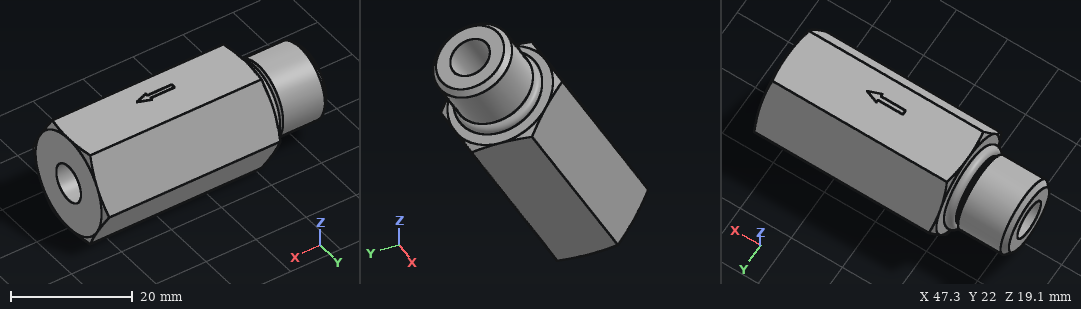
import cadquery as cq
import math

total_length = 47.3
bore_diameter = 7.15

stub_diameter = 14.3
stub_chamfer = 1.0
thread_end = 9.3
neck_diameter = 12.75
neck_start = 9.85

hex_start = 12.0
hex_across_flats = 19.05
hex_chamfer_length = 0.5

ring_outer_diameter = 15.9
ring_section_diameter = 2.0

arrow_tail = 25.4
arrow_neck = 30.25
arrow_tip = 32.7
arrow_center_y = -1.4
arrow_shaft_width = 0.85
arrow_head_width = 1.8
arrow_depth = 0.1

stub_radius = stub_diameter / 2
neck_radius = neck_diameter / 2
flat_radius = hex_across_flats / 2
corner_radius = flat_radius / math.cos(math.pi / 6)
ring_center_radius = (ring_outer_diameter - ring_section_diameter) / 2
ring_center_x = hex_start - ring_section_diameter / 2


def revolve_about_x(profile):
    """Turn a closed profile of (x, radius) points about the X axis."""
    return cq.Workplane("XY").polyline(profile).close().revolve(360, (0, 0, 0), (1, 0, 0))


def make_ring():
    """O-ring of round section around the neck."""
    return (
        cq.Workplane("XY")
        .center(ring_center_x, ring_center_radius)
        .circle(ring_section_diameter / 2)
        .revolve(360, (0, -ring_center_radius, 0), (1, -ring_center_radius, 0))
    )


def make_stub():
    """Turned male end: chamfered thread cylinder, cone and neck up to the hexagon."""
    return revolve_about_x([
        (0, 0),
        (0, stub_radius - stub_chamfer),
        (stub_chamfer, stub_radius),
        (thread_end, stub_radius),
        (neck_start, neck_radius),
        (hex_start, neck_radius),
        (hex_start, 0),
    ])


def make_hexagon():
    """Hexagon with corners on the Y axis, its corners turned off conically at both ends."""
    hexagon = (
        cq.Workplane("YZ", origin=(hex_start, 0, 0))
        .polygon(6, 2 * corner_radius)
        .extrude(total_length - hex_start)
    )
    turned_envelope = revolve_about_x([
        (hex_start, 0),
        (hex_start, flat_radius),
        (hex_start + hex_chamfer_length, corner_radius),
        (total_length - hex_chamfer_length, corner_radius),
        (total_length, flat_radius),
        (total_length, 0),
    ])
    return hexagon.intersect(turned_envelope)


def make_arrow():
    """Block with the arrow outline, sunk into the top flat."""
    half_shaft = arrow_shaft_width / 2
    half_head = arrow_head_width / 2
    return (
        cq.Workplane("XY", origin=(0, arrow_center_y, flat_radius))
        .polyline([
            (arrow_tail, -half_shaft),
            (arrow_neck, -half_shaft),
            (arrow_neck, -half_head),
            (arrow_tip, 0),
            (arrow_neck, half_head),
            (arrow_neck, half_shaft),
            (arrow_tail, half_shaft),
        ])
        .close()
        .extrude(-arrow_depth)
    )


def make_housing():
    """Stub and hexagon in one piece, with the through bore, ring seat and arrow cut in."""
    bore = cq.Workplane("YZ").circle(bore_diameter / 2).extrude(total_length)
    ring_seat = make_ring()
    return make_stub().union(make_hexagon()).cut(bore).cut(ring_seat).cut(make_arrow())


housing = make_housing().solids()
o_ring = make_ring()

result = cq.Compound.makeCompound([housing.val(), o_ring.val()])